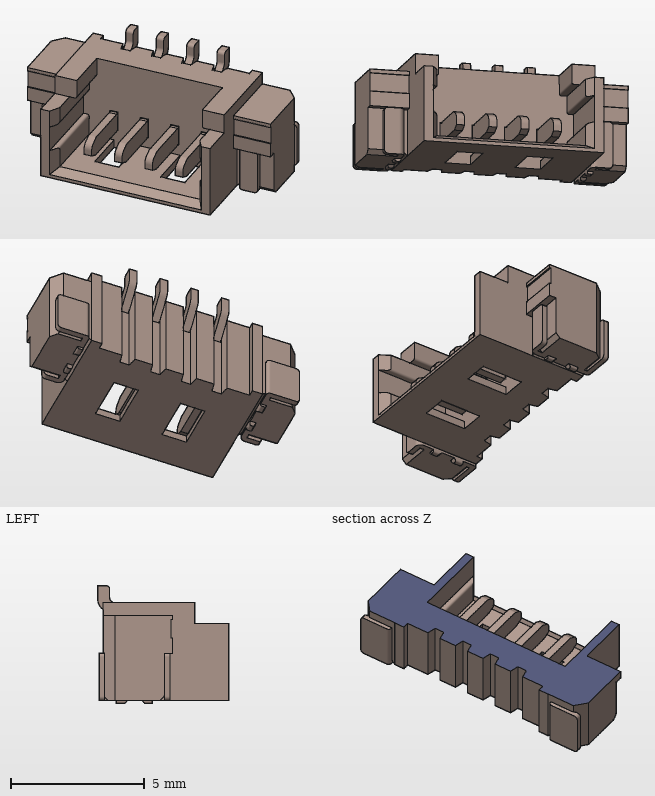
import cadquery as cq


body_half = 3.48
body_back = 4.7
body_top = 3.67
wall_top = 2.89
step_depth = 1.27
back_recess = 0.25
back_recess_half = 3.06

floor_z = 0.33
cavity_half = 2.88
cavity_back = 3.03
cavity_back_top = 3.07
mouth_half = 3.12
mouth_floor = 0.14
lead_in = 0.4
opening_half = 2.58
groove_bottom = 1.17
groove_top = 2.19
edge_radius = 0.09
window_inner = 0.86
window_outer = 1.85
window_front = 1.29

pin_pitch = 1.25
pin_count = 4
pin_width = 0.31
pin_tip = 0.72
blade_bottom = 0.76
blade_top = 1.5
tail_back = 4.9
tail_thickness = 0.45
tail_top = 4.3
tail_radius = 0.13
tail_bend_front = 3.78
tail_bend_back = 3.6
front_bend_radius = 0.18
back_bend_radius = 0.4
riser_front = 3.3
riser_thickness = 0.5
tip_bevel_end = 1.05
tip_bottom = 0.9
tip_top = 1.11
nose_arc_middle = (0.77, 1.27)
nose_arc_end = (0.9, 1.38)
slope_end = (1.05, 1.46)
slope_arc_middle = (1.11, 1.49)
slope_arc_end = 1.18
shoulder_start = 2.98
shoulder_end = 3.08
shoulder_top = 1.54
notch_floor = 4.09
notch_mouth_width = 0.54
notch_floor_width = 0.37
socket_width = 0.33
socket_depth = 0.05

wing_half = 5.0
wing_front = 2.11
wing_back = 4.69
wing_top = 3.19
wing_corner_x = 0.38
wing_corner_y = 0.44
lip_bottom = 1.77
panel_bottom = 2.34
panel_top = 3.04
panel_depth = 0.05
bottom_chamfer = 0.18
relief_height = 0.12

clip_top = 1.78
clip_inner = 3.61
clip_thickness = 0.21
clip_front = 2.19
clip_back = 4.85
clip_front_reach = 4.43
clip_back_reach = 4.92
clip_corner = 0.15
clip_front_bend = 0.23
clip_back_bend = 0.13
plate_thickness = 0.23
peg_drop = 0.11
peg_round = 0.07
peg_spans = ((2.86, 3.13, 3.24), (4.21, 3.9, 3.79))


def box(x0, x1, y0, y1, z0, z1):
    return cq.Workplane("XY").box(x1 - x0, y1 - y0, z1 - z0, centered=False).translate((x0, y0, z0))


def both_sides(shape):
    return shape.union(shape.mirror("YZ"))


def pin_positions():
    return [pin_pitch * (i - (pin_count - 1) / 2) for i in range(pin_count)]


def prism_x(points, x0, x1):
    return cq.Workplane("YZ", origin=(x0, 0, 0)).polyline(points).close().extrude(x1 - x0)


def rounded_edge(x, z, direction):
    """Slivers that round the Y edges at +-x and height z.

    The housing lies outward of the edge, above it (direction +1) or below it (-1).
    """
    center_x = x + edge_radius
    center_z = z + direction * edge_radius
    square = box(x, center_x, 0, body_back, min(z, center_z), max(z, center_z))
    rod = cq.Workplane("XZ", origin=(center_x, 0, center_z)).circle(edge_radius).extrude(-body_back)
    return both_sides(square.cut(rod))


def cavity():
    """Plug space: ridged tunnel, flared mouth, side grooves and roof opening."""
    profile = [(0, floor_z), (cavity_back, floor_z), (cavity_back_top, body_top), (0, body_top)]
    space = prism_x(profile, -mouth_half, mouth_half)
    opening = box(-opening_half, opening_half, 0, body_back, floor_z, body_top)
    tunnel = box(-cavity_half, cavity_half, 0, body_back, floor_z, wall_top)
    grooves = box(-mouth_half, mouth_half, 0, body_back, groove_bottom, groove_top)
    section = opening.union(tunnel).union(grooves)
    section = section.union(rounded_edge(opening_half, wall_top, 1))
    section = section.union(rounded_edge(cavity_half, groove_bottom, -1))
    section = section.union(rounded_edge(cavity_half, groove_top, 1))
    space = space.intersect(section)
    flare = (
        cq.Workplane("XZ")
        .center(0, (mouth_floor + wall_top) / 2)
        .rect(2 * mouth_half, wall_top - mouth_floor)
        .workplane(offset=-lead_in)
        .center(0, (floor_z - mouth_floor) / 2)
        .rect(2 * cavity_half, wall_top - floor_z)
        .loft(ruled=True)
    )
    return space.union(flare)


def housing():
    """Shroud with its cavity, floor windows, back recess, tail notches and blade slots."""
    body = box(-body_half, body_half, 0, body_back, 0, body_top)
    body = body.cut(box(-body_half, body_half, 0, step_depth, wall_top, body_top))
    body = body.cut(
        box(-back_recess_half, back_recess_half, body_back - back_recess, body_back, 0, body_top)
    )
    body = body.cut(cavity())
    body = body.cut(both_sides(box(window_inner, window_outer, window_front, cavity_back, 0, floor_z)))
    back = body_back - back_recess
    for x in pin_positions():
        notch = (
            cq.Workplane("XY")
            .polyline([
                (x - notch_mouth_width / 2, back),
                (x - notch_floor_width / 2, notch_floor),
                (x + notch_floor_width / 2, notch_floor),
                (x + notch_mouth_width / 2, back),
            ])
            .close()
            .extrude(body_top)
        )
        socket = box(
            x - socket_width / 2, x + socket_width / 2,
            cavity_back, cavity_back + socket_depth, blade_bottom, shoulder_top,
        )
        body = body.cut(notch).cut(socket)
    return body


def wing():
    """Right-hand side wing."""
    x0 = body_half
    upper = box(x0, wing_half, wing_front, wing_back, lip_bottom, wing_top)
    lower_front = clip_front + clip_thickness
    lower = box(clip_inner, wing_half, lower_front, wing_back, 0, lip_bottom)
    lower = lower.faces("<Z").edges("|X").chamfer(bottom_chamfer)
    web = box(x0, clip_inner, lower_front, wing_back, 0, lip_bottom)
    shape = upper.union(lower).union(web)
    shape = shape.cut(
        box(x0, wing_half, wing_front, wing_front + panel_depth, panel_bottom, panel_top)
    )
    corner = (
        cq.Workplane("XY")
        .polyline([
            (wing_half - wing_corner_x, wing_back),
            (wing_half, wing_back),
            (wing_half, wing_back - wing_corner_y),
        ])
        .close()
        .extrude(wing_top)
    )
    relief = (
        cq.Workplane("XZ")
        .polyline([(x0, 0), (clip_inner, 0), (clip_inner, relief_height)])
        .close()
        .extrude(-body_back)
    )
    return shape.cut(corner).cut(relief)


def clip():
    """Right-hand solder clip: plate beside the housing with two outward legs and two pegs."""
    plate_outer = clip_inner + plate_thickness
    plate = box(clip_inner, plate_outer, clip_front, clip_back, 0, clip_top)
    front_leg = box(clip_inner, clip_front_reach, clip_front, clip_front + clip_thickness, 0, clip_top)
    back_leg = box(clip_inner, clip_back_reach, clip_back - clip_thickness, clip_back, 0, clip_top)
    shape = plate.union(front_leg.edges("|Y and >X").fillet(clip_corner))
    shape = shape.union(back_leg.edges("|Y and >X").fillet(clip_corner))
    shape = shape.edges("|Z and <X and <Y").fillet(clip_front_bend)
    shape = shape.edges("|Z and <X and >Y").fillet(clip_back_bend)
    for straight, sloped_bottom, sloped_top in peg_spans:
        outline = [
            (straight, 0),
            (straight, -peg_drop),
            (sloped_bottom, -peg_drop),
            (sloped_top, 0),
        ]
        peg = prism_x(outline, clip_inner, plate_outer)
        shape = shape.union(peg.edges("|Y and <Z").fillet(peg_round))
    return shape


def pin(x):
    """Blade in the cavity, riser hidden in the back wall, then a 45 degree slope up to the tail."""
    tail_front = tail_back - tail_thickness
    riser_back = riser_front + riser_thickness
    profile = (
        cq.Workplane("YZ", origin=(x - pin_width / 2, 0, 0))
        .moveTo(riser_back, blade_bottom)
        .lineTo(tip_bevel_end, blade_bottom)
        .lineTo(pin_tip, tip_bottom)
        .lineTo(pin_tip, tip_top)
        .threePointArc(nose_arc_middle, nose_arc_end)
        .lineTo(*slope_end)
        .threePointArc(slope_arc_middle, (slope_arc_end, blade_top))
        .lineTo(shoulder_start, blade_top)
        .lineTo(shoulder_end, shoulder_top)
        .lineTo(riser_front, shoulder_top)
        .lineTo(riser_front, tail_bend_front - (tail_front - riser_front))
        .lineTo(tail_front, tail_bend_front)
        .lineTo(tail_front, tail_top)
        .lineTo(tail_back, tail_top)
        .lineTo(tail_back, tail_bend_back)
        .lineTo(riser_back, tail_bend_back - (tail_back - riser_back))
        .close()
    )
    shape = profile.extrude(pin_width)
    top_front = (x, tail_front, tail_top)
    front_bend = (x, tail_front, tail_bend_front)
    back_bend = (x, tail_back, tail_bend_back)
    roundings = (
        (top_front, tail_radius),
        (front_bend, front_bend_radius),
        (back_bend, back_bend_radius),
    )
    for point, radius in roundings:
        shape = shape.edges(cq.selectors.NearestToPointSelector(point)).fillet(radius)
    return shape


result = housing().union(both_sides(wing())).union(both_sides(clip()))
for x in pin_positions():
    result = result.union(pin(x))